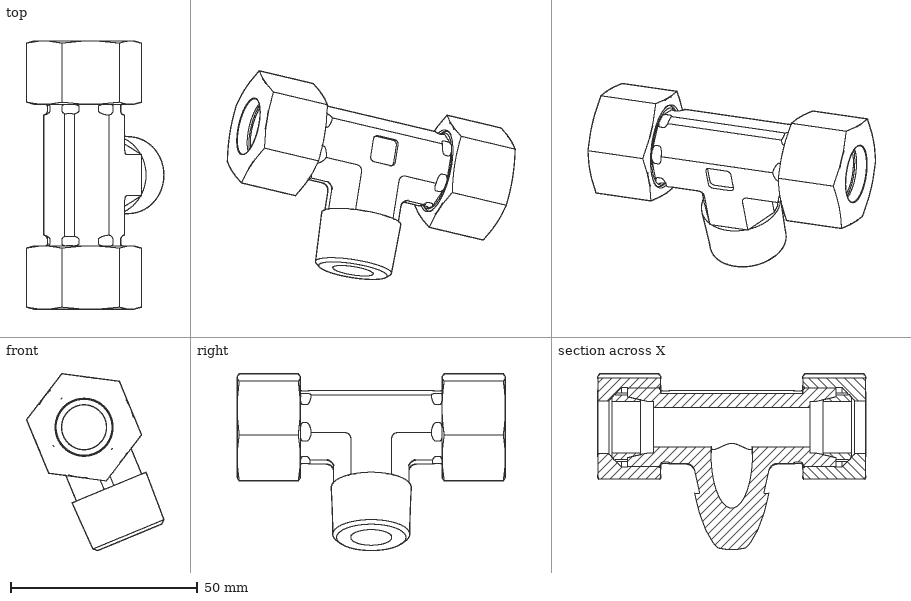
import cadquery as cq
import math

BRANCH_TILT = 22.5

HEXAGON_TURN = 30.0
TOLERANCE = 1e-4

BAR_FLATS = 19.0
BAR_CORNER_CUT = 20.3
INNER_CORNER_RADIUS = 2.0

NUT_OUTER_END = 36.0
NUT_LENGTH = 17.0
NUT_INNER_END = NUT_OUTER_END - NUT_LENGTH
RUN_END = 28.0
SOCKET_FLOOR = 21.0

RUN_BORE = 12.0
TUBE = 15.0
CONE_MOUTH = 17.3
CONE_HALF_ANGLE = 12.0
RUN_THREAD = 22.0

RELIEF_DIAMETER = 19.7
RELIEF_START = 17.3
RELIEF_END = 18.4
RELIEF_BAR_FILLET = 1.2
RELIEF_THREAD_FILLET = 0.6
THREAD_START = RELIEF_END + RELIEF_THREAD_FILLET

BRANCH_END = 32.0
BRANCH_BORE = 11.0
COLLAR_TOP = 17.5
COLLAR_RIM_LENGTH = 0.4
COLLAR_TOP_DIAMETER = 21.52
THREAD_TAPER = 1 / 16
COLLAR_END_CHAMFER = 0.9
COLLAR_END_DIAMETER = 18.6

RECESS_SIZE = 7.2
RECESS_CORNER_RADIUS = 1.2
RECESS_DEPTH = 1.2

NUT_FLATS = 27.0
NUT_FACE_DIAMETER = 26.9
NUT_CHAMFER_ANGLE = 15.0
NUT_MOUTH = 22.5
NUT_MOUTH_DEPTH = 0.7
NUT_BORE = 15.3
NUT_BORE_CHAMFER = 0.15
NUT_BORE_LENGTH = 3.0

RING_DIAMETER = 18.5
RING_NOSE = 24.5
RING_BACK = 32.15


def revolve_about_y(points):
    """Solid turned about the run axis from (radius, distance along Y) points."""
    return cq.Workplane("XY").polyline(points).close().revolve(360, (0, 0), (0, 1))


def cylinder_along_y(diameter, start, end):
    return revolve_about_y([(0, start), (diameter / 2, start), (diameter / 2, end), (0, end)])


def other_end(shape):
    return shape.rotate((0, 0, 0), (0, 0, 1), 180)


def hexagon(plane, flats):
    """Hexagon with the given width across flats and two of them square to X."""
    corner_circle = flats / math.cos(math.pi / 6)
    return cq.Workplane(plane).transformed(rotate=(0, 0, HEXAGON_TURN)).polygon(6, corner_circle)


def make_run_bar():
    bar = hexagon("XZ", BAR_FLATS).extrude(THREAD_START, both=True)
    return bar.intersect(cq.Workplane("XY").box(2 * BAR_FLATS, 4 * RUN_END, BAR_CORNER_CUT))


def make_branch_bar():
    bar = hexagon("XY", BAR_FLATS).extrude(-COLLAR_TOP)
    return bar.intersect(cq.Workplane("XY").box(2 * BAR_FLATS, BAR_CORNER_CUT, 4 * BRANCH_END))


def make_bars():
    """Run and branch bars joined, with the mitred inner corners rounded."""
    bars = make_run_bar().union(make_branch_bar())

    def on_mitre(edge):
        """The bars meet on the planes z = -y and z = y, below the run axis."""
        ends = (edge.startPoint(), edge.endPoint())
        return all(abs(abs(end.y) + end.z) < TOLERANCE for end in ends)

    mitre_edges = [edge for edge in bars.edges().vals() if on_mitre(edge)]
    return bars.newObject(mitre_edges).fillet(INNER_CORNER_RADIUS)


def cut_marking_recess(body):
    depth_plane = cq.Workplane("YZ", origin=(-BAR_FLATS / 2, 0, 0))
    recess = depth_plane.rect(RECESS_SIZE, RECESS_SIZE).extrude(RECESS_DEPTH)
    return body.cut(recess.edges("|X").fillet(RECESS_CORNER_RADIUS))


def make_relief_cutter():
    """Round groove filleted towards the bar and the thread; the bar's flats lie below its floor."""
    floor = RELIEF_DIAMETER / 2
    outside = BAR_FLATS
    groove_start = RELIEF_START - RELIEF_BAR_FILLET
    arc_share = 1 - math.sqrt(0.5)
    bar_inset = RELIEF_BAR_FILLET * arc_share
    thread_inset = RELIEF_THREAD_FILLET * arc_share
    profile = (
        cq.Workplane("XY")
        .moveTo(outside, groove_start)
        .lineTo(floor + RELIEF_BAR_FILLET, groove_start)
        .threePointArc((floor + bar_inset, groove_start + bar_inset), (floor, RELIEF_START))
        .lineTo(floor, RELIEF_END)
        .threePointArc(
            (floor + thread_inset, THREAD_START - thread_inset),
            (floor + RELIEF_THREAD_FILLET, THREAD_START),
        )
        .lineTo(outside, THREAD_START)
        .close()
    )
    return profile.revolve(360, (0, 0), (0, 1))


def make_run_end():
    """Threaded end of the run, chamfered where it leaves the relief."""
    root = RELIEF_DIAMETER / 2 + RELIEF_THREAD_FILLET
    thread = RUN_THREAD / 2
    return revolve_about_y([
        (0, THREAD_START),
        (root, THREAD_START),
        (thread, THREAD_START + thread - root),
        (thread, RUN_END),
        (0, RUN_END),
    ])


def cone_radius(distance):
    """Radius of the sealing cone at a distance along the run."""
    return CONE_MOUTH / 2 - (RUN_END - distance) * math.tan(math.radians(CONE_HALF_ANGLE))


def make_socket():
    """Tube socket with its sealing cone."""
    tube = TUBE / 2
    cone_depth = (CONE_MOUTH - TUBE) / 2 / math.tan(math.radians(CONE_HALF_ANGLE))
    return revolve_about_y([
        (0, SOCKET_FLOOR),
        (tube, SOCKET_FLOOR),
        (tube, RUN_END - cone_depth),
        (CONE_MOUTH / 2, RUN_END),
        (0, RUN_END),
    ])


def make_collar():
    """Taper-threaded end of the branch."""
    top = COLLAR_TOP_DIAMETER / 2
    taper_end = BRANCH_END - COLLAR_END_CHAMFER
    taper_length = taper_end - COLLAR_TOP - COLLAR_RIM_LENGTH
    bottom = top - taper_length * THREAD_TAPER / 2
    profile = [
        (0, -COLLAR_TOP),
        (top, -COLLAR_TOP),
        (top, -COLLAR_TOP - COLLAR_RIM_LENGTH),
        (bottom, -taper_end),
        (COLLAR_END_DIAMETER / 2, -BRANCH_END),
        (0, -BRANCH_END),
    ]
    return cq.Workplane("XZ").polyline(profile).close().revolve(360, (0, 0), (0, 1))


def make_body():
    bars = make_bars()
    relief = make_relief_cutter()
    run_end = make_run_end()
    socket = make_socket()
    body = bars.cut(relief).cut(other_end(relief))
    body = body.union(run_end).union(other_end(run_end)).union(make_collar())
    body = body.cut(cylinder_along_y(RUN_BORE, -RUN_END, RUN_END))
    body = body.cut(socket).cut(other_end(socket))
    body = body.cut(cq.Workplane("XY").circle(BRANCH_BORE / 2).extrude(-BRANCH_END))
    return cut_marking_recess(body)


def make_nut():
    """Hexagon nut with both ends chamfered, threaded over the run and tapering to its bore."""
    blank = hexagon("XZ", NUT_FLATS).extrude(-NUT_LENGTH).translate((0, NUT_INNER_END, 0))
    face = NUT_FACE_DIAMETER / 2
    outside = NUT_FLATS
    rise = (outside - face) * math.tan(math.radians(NUT_CHAMFER_ANGLE))
    envelope = revolve_about_y([
        (0, NUT_INNER_END),
        (face, NUT_INNER_END),
        (outside, NUT_INNER_END + rise),
        (outside, NUT_OUTER_END - rise),
        (face, NUT_OUTER_END),
        (0, NUT_OUTER_END),
    ])
    thread = RUN_THREAD / 2
    mouth = NUT_MOUTH / 2
    bore = NUT_BORE / 2
    bore_start = NUT_OUTER_END - NUT_BORE_LENGTH
    cavity = revolve_about_y([
        (0, NUT_INNER_END),
        (mouth, NUT_INNER_END),
        (thread, NUT_INNER_END + NUT_MOUTH_DEPTH),
        (thread, bore_start - (thread - bore)),
        (bore, bore_start),
        (bore, NUT_OUTER_END - NUT_BORE_CHAMFER),
        (bore + NUT_BORE_CHAMFER, NUT_OUTER_END),
        (0, NUT_OUTER_END),
    ])
    return blank.intersect(envelope).cut(cavity)


def make_ring():
    """Cutting ring: its nose lies in the sealing cone and its back against the nut's taper."""
    tube = TUBE / 2
    shoulder = RING_DIAMETER / 2
    taper_end = NUT_OUTER_END - NUT_BORE_LENGTH
    back_radius = NUT_BORE / 2 + taper_end - RING_BACK
    return revolve_about_y([
        (tube, RING_NOSE),
        (cone_radius(RING_NOSE), RING_NOSE),
        (CONE_MOUTH / 2, RUN_END),
        (shoulder, RUN_END),
        (shoulder, RING_BACK - (shoulder - back_radius)),
        (back_radius, RING_BACK),
        (tube, RING_BACK),
    ])


def tilt(shape):
    return shape.rotate((0, 0, 0), (0, 1, 0), -BRANCH_TILT)


solids = [tilt(make_body()).solids().val()]
for end_part in (make_nut(), make_ring()):
    solids.append(tilt(end_part).solids().val())
    solids.append(tilt(other_end(end_part)).solids().val())

result = cq.Compound.makeCompound(solids)